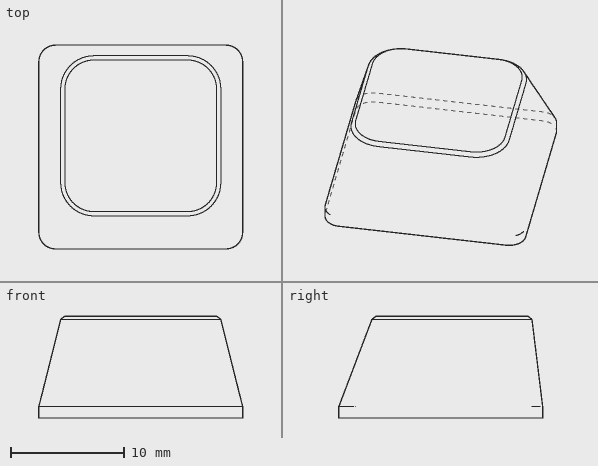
import cadquery as cq

base_side = 18.0
base_radius = 1.5
skirt_height = 1.0

total_height = 9.0
crown_side = 14.13
crown_radius = 2.93
crown_shift = 0.99

chamfer_inset = 0.38
chamfer_height = 0.29
chamfer_start = total_height - chamfer_height


def rounded_square(side, radius, shift, height):
    """Square with rounded corners, moved along Y and raised to a height."""
    outline = cq.Sketch().rect(side, side).vertices().fillet(radius)
    return outline.moved(cq.Location(cq.Vector(0, shift, height)))


def ruled_body(lower, upper):
    """Solid with straight-lined walls between two outlines."""
    return cq.Workplane("XY").placeSketch(lower, upper).loft(ruled=True)


base_outline = rounded_square(base_side, base_radius, 0, 0)
skirt_outline = rounded_square(base_side, base_radius, 0, skirt_height)
crown_outline = rounded_square(crown_side, crown_radius, crown_shift, chamfer_start)
top_outline = rounded_square(
    crown_side - 2 * chamfer_inset,
    crown_radius - chamfer_inset,
    crown_shift,
    total_height,
)

skirt = ruled_body(base_outline, skirt_outline)
tapered_walls = ruled_body(skirt_outline, crown_outline)
chamfered_rim = ruled_body(crown_outline, top_outline)

result = skirt.union(tapered_walls).union(chamfered_rim)